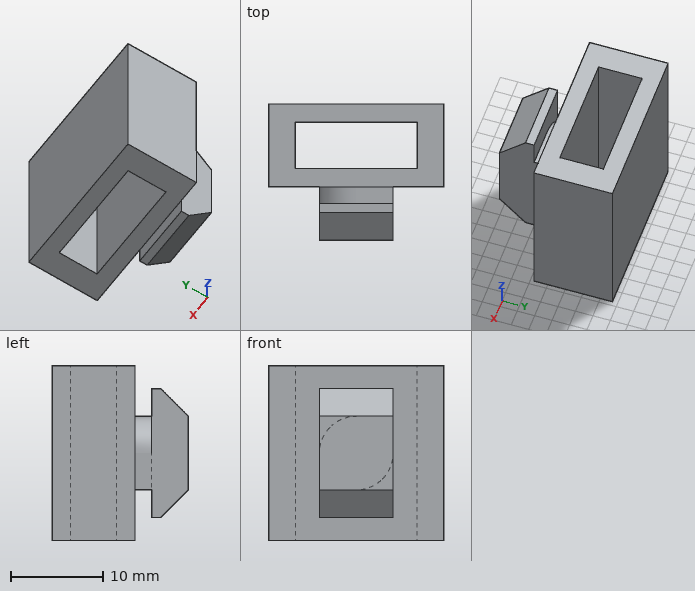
import cadquery as cq
import math

body_side = 19.0
body_depth = 9.0
slot_width = 13.19
slot_depth = 4.98

head_width = 8.0
head_height = 14.0
head_depth = 3.99
head_chamfer = 3.0
neck_length = 1.8

front_face = -body_depth / 2
head_back = front_face - neck_length
head_front = head_back - head_depth
overlap = 0.19


def make_sleeve():
    block = cq.Workplane("XY").box(body_side, body_depth, body_side)
    slot = cq.Workplane("XY").box(slot_width, slot_depth, body_side)
    return block.cut(slot)


def make_neck():
    """Square neck with two diagonally opposite corners fully rounded."""
    radius = head_width / 2
    arc_mid = radius * math.sqrt(0.5)
    return (
        cq.Workplane("XZ", origin=(0, front_face + overlap, 0))
        .moveTo(-radius, 0)
        .threePointArc((-arc_mid, arc_mid), (0, radius))
        .lineTo(radius, radius)
        .lineTo(radius, 0)
        .threePointArc((arc_mid, -arc_mid), (0, -radius))
        .lineTo(-radius, -radius)
        .close()
        .extrude(neck_length + 2 * overlap)
    )


def make_head():
    """Bar along Z with its two outer ends beveled."""
    half_height = head_height / 2
    flat_half = half_height - head_chamfer
    bevel_start = head_front + head_chamfer
    profile = [
        (head_back, -half_height),
        (bevel_start, -half_height),
        (head_front, -flat_half),
        (head_front, flat_half),
        (bevel_start, half_height),
        (head_back, half_height),
    ]
    return cq.Workplane("YZ").polyline(profile).close().extrude(head_width / 2, both=True)


result = make_sleeve().union(make_neck()).union(make_head())